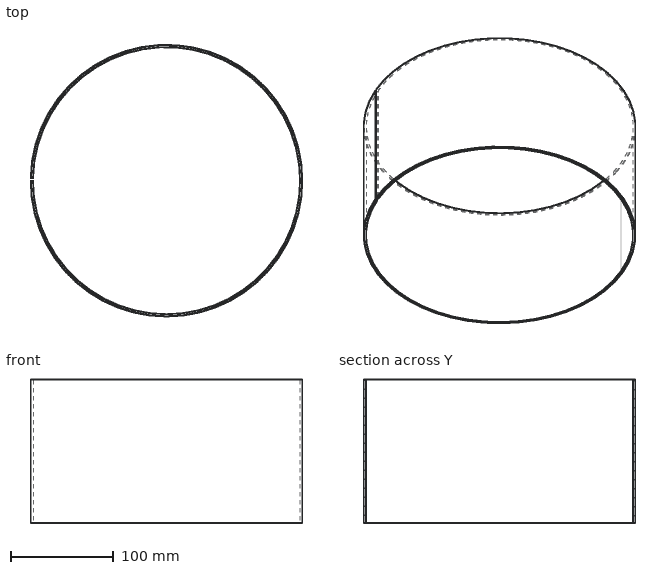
import cadquery as cq
import math

outer_diameter = 265.0
height = 140.0
wall_thickness = 2.5
gap_angle = 1.0
outer_chamfer = 0.5
inner_chamfer = 0.2

outer_radius = outer_diameter / 2
inner_radius = outer_radius - wall_thickness
bottom_plane = cq.Workplane("XY", origin=(0, 0, -height / 2))


def make_ring():
    """Thin-walled tube, centred on the origin, with chamfered rims."""
    tube = bottom_plane.circle(outer_radius).circle(inner_radius).extrude(height)
    outer_rims = tube.faces("|Z").edges(cq.selectors.RadiusNthSelector(-1))
    tube = outer_rims.chamfer(outer_chamfer)
    inner_rims = tube.faces("|Z").edges(cq.selectors.RadiusNthSelector(0))
    return inner_rims.chamfer(inner_chamfer)


def make_gap_wedge():
    """Full-height wedge from the ring axis out past the wall; both its sides are radial."""
    reach = outer_radius + wall_thickness
    side_offset = reach * math.tan(math.radians(gap_angle))
    corners = [(0, 0), (-reach, 0), (-reach, side_offset)]
    return bottom_plane.polyline(corners).close().extrude(height)


result = make_ring().cut(make_gap_wedge())